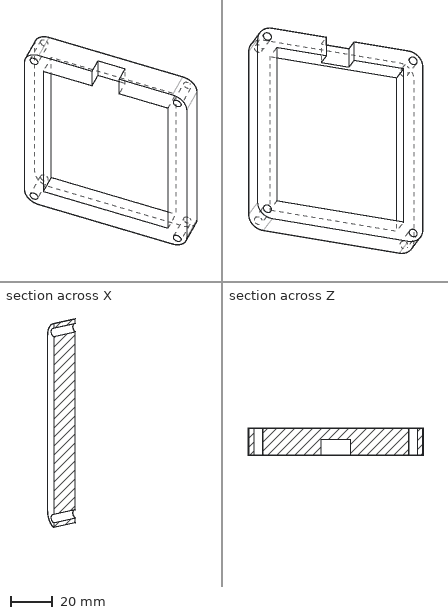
import cadquery as cq

width = 83.8
thickness = 13.0
height = 103.1
corner_radius = 7.4

pocket_width = 64.3
pocket_height = 83.0
pocket_depth = 10.0

notch_width = 14.0
notch_depth = 7.4

hole_diameter = 4.0
hole_inset = 4.9


def front_face():
    """Workplane on the front face, with its normal pointing out along -Y."""
    return cq.Workplane("XZ")


def make_body():
    body = front_face().rect(width, height).extrude(-thickness)
    return body.edges("|Y").fillet(corner_radius)


def make_pocket():
    return front_face().rect(pocket_width, pocket_height).extrude(-pocket_depth)


def make_notch():
    wall = (height - pocket_height) / 2
    wall_center = (height - wall) / 2
    return (
        front_face()
        .center(0, wall_center)
        .rect(notch_width, wall)
        .extrude(-notch_depth)
    )


def make_screw_holes():
    spacing_x = width - 2 * hole_inset
    spacing_z = height - 2 * hole_inset
    return (
        front_face()
        .rect(spacing_x, spacing_z, forConstruction=True)
        .vertices()
        .circle(hole_diameter / 2)
        .extrude(-thickness)
    )


result = make_body().cut(make_pocket()).cut(make_notch()).cut(make_screw_holes())